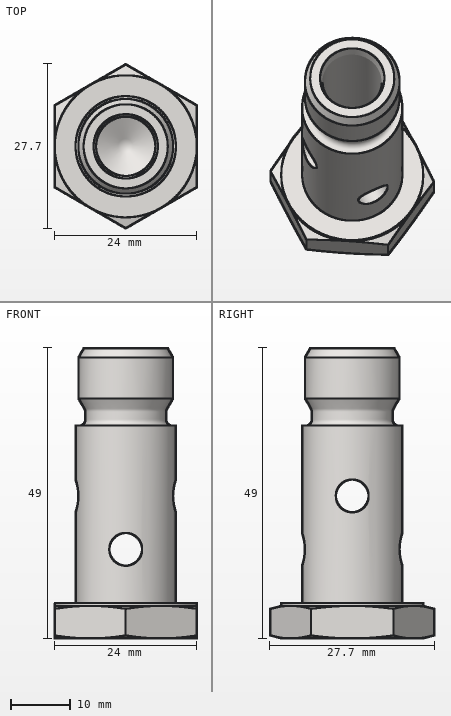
import cadquery as cq
import math

total_length = 49.0
across_flats = 24.0
across_corners = across_flats / math.cos(math.radians(30))
head_height = 6.0
collar_height = 0.5
head_chamfer_angle = 15.0

shank_radius = 16.95 / 2
shoulder_z = 35.95
thread_radius = 16.0 / 2
thread_bottom_z = 40.5
tip_radius = 14.2 / 2
tip_chamfer_height = 1.55
groove_radius = 13.7 / 2
groove_fillet = 0.95
runout_angle = 30.0

bore_radius = 10.0 / 2
mouth_radius = 10.9 / 2
mouth_depth = 1.8
bore_bottom_z = 12.25
drill_point_angle = 118.0
cross_hole_diameter = 5.5
front_hole_z = 15.05
side_hole_z = 24.05


def make_head():
    """Hexagon with its corners chamfered and a thin round collar on top."""
    hex_height = head_height - collar_height
    hexagon = cq.Workplane("XY").polygon(6, across_corners).extrude(hex_height)
    hexagon = hexagon.rotate((0, 0, 0), (0, 0, 1), 30)
    flat_radius = across_flats / 2
    corner_radius = across_corners / 2
    chamfer_drop = (corner_radius - flat_radius) * math.tan(math.radians(head_chamfer_angle))
    envelope = (
        cq.Workplane("XZ")
        .polyline([
            (0, 0),
            (flat_radius, 0),
            (corner_radius, chamfer_drop),
            (corner_radius, hex_height - chamfer_drop),
            (flat_radius, hex_height),
            (0, hex_height),
        ])
        .close()
        .revolve(360, (0, 0, 0), (0, 1, 0))
    )
    collar = cq.Workplane("XY").workplane(offset=hex_height).circle(flat_radius).extrude(collar_height)
    return hexagon.intersect(envelope).union(collar)


def make_stem():
    """Shank, undercut groove with rounded roots, and chamfered threaded end."""
    runout = math.radians(runout_angle)
    runout_height = (thread_radius - groove_radius) / math.tan(runout)
    cone_foot_z = thread_bottom_z - runout_height
    tangent_length = groove_fillet * math.tan(runout / 2)
    round_start_z = cone_foot_z - tangent_length
    round_end = (
        groove_radius + tangent_length * math.sin(runout),
        cone_foot_z + tangent_length * math.cos(runout),
    )
    round_middle = (
        groove_radius + groove_fillet * (1 - math.cos(runout / 2)),
        round_start_z + groove_fillet * math.sin(runout / 2),
    )
    shoulder_middle_offset = groove_fillet * (1 - math.sqrt(0.5))
    return (
        cq.Workplane("XZ")
        .moveTo(0, head_height - collar_height)
        .lineTo(shank_radius, head_height - collar_height)
        .lineTo(shank_radius, shoulder_z)
        .lineTo(groove_radius + groove_fillet, shoulder_z)
        .threePointArc(
            (groove_radius + shoulder_middle_offset, shoulder_z + shoulder_middle_offset),
            (groove_radius, shoulder_z + groove_fillet),
        )
        .lineTo(groove_radius, round_start_z)
        .threePointArc(round_middle, round_end)
        .lineTo(thread_radius, thread_bottom_z)
        .lineTo(thread_radius, total_length - tip_chamfer_height)
        .lineTo(tip_radius, total_length)
        .lineTo(0, total_length)
        .close()
        .revolve(360, (0, 0, 0), (0, 1, 0))
    )


def make_bore():
    """Blind drilled bore with a conical bottom and a tapered mouth."""
    point_depth = bore_radius / math.tan(math.radians(drill_point_angle / 2))
    return (
        cq.Workplane("XZ")
        .polyline([
            (0, bore_bottom_z - point_depth),
            (bore_radius, bore_bottom_z),
            (bore_radius, total_length - mouth_depth),
            (mouth_radius, total_length),
            (0, total_length),
        ])
        .close()
        .revolve(360, (0, 0, 0), (0, 1, 0))
    )


def make_cross_hole(plane, height):
    """Hole crossing the whole shank, perpendicular to the given plane."""
    return (
        cq.Workplane(plane)
        .center(0, height)
        .circle(cross_hole_diameter / 2)
        .extrude(across_flats / 2, both=True)
    )


result = make_head().union(make_stem()).cut(make_bore())
for hole_plane, hole_z in (("XZ", front_hole_z), ("YZ", side_hole_z)):
    result = result.cut(make_cross_hole(hole_plane, hole_z))